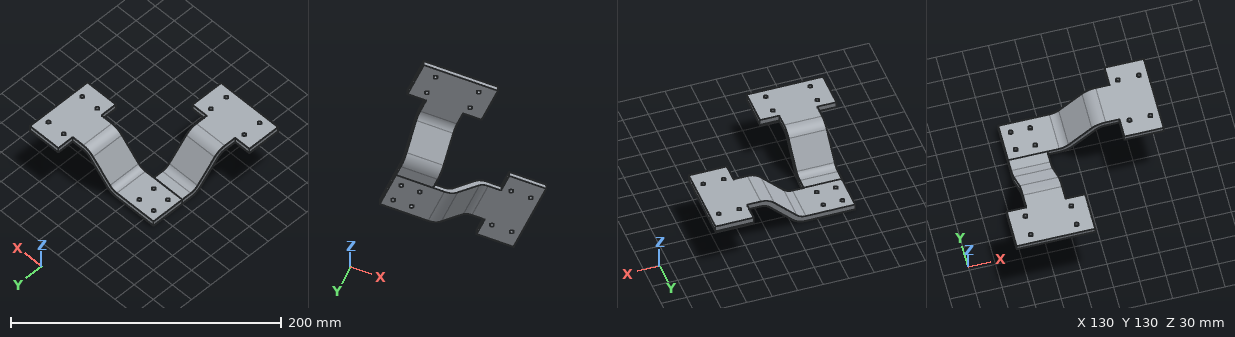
import cadquery as cq
import math

OVERALL_SPAN = 130.0
OVERALL_HEIGHT = 30.0

THICKNESS = 5.0
STRIP_WIDTH = 30.0
PAD_LENGTH = STRIP_WIDTH
LOWER_FLAT = 8.8
BEND_ANGLE = 45.0
INNER_RADIUS = 10.0
OUTER_RADIUS = INNER_RADIUS + THICKNESS

HEAD_WIDTH = 2 * STRIP_WIDTH
HEAD_LENGTH = 30.0

HOLE_DIAMETER = 3.0
PAD_HOLE_PITCH = 15.0
HEAD_HOLE_PITCH_ALONG = 16.0
HEAD_HOLE_PITCH_ACROSS = 35.0

PAD_START = -PAD_LENGTH / 2
PAD_END = PAD_LENGTH / 2
BEND_START = PAD_END + LOWER_FLAT
ARM_END = OVERALL_SPAN - HEAD_WIDTH / 2
HEAD_CENTER = ARM_END - HEAD_LENGTH / 2

RISE = OVERALL_HEIGHT - THICKNESS
ANGLE = math.radians(BEND_ANGLE)
BEND_RUN = (INNER_RADIUS + OUTER_RADIUS) * math.sin(ANGLE)
BEND_RISE = (INNER_RADIUS + OUTER_RADIUS) * (1 - math.cos(ANGLE))
BEND_END = BEND_START + BEND_RUN + (RISE - BEND_RISE) / math.tan(ANGLE)


def lower_bend_point(radius, angle):
    """Point on the lower bend, whose center lies above the lower flat."""
    center_z = THICKNESS + INNER_RADIUS
    return BEND_START + radius * math.sin(angle), center_z - radius * math.cos(angle)


def upper_bend_point(radius, angle):
    """Point on the upper bend, whose center lies below the upper flat."""
    center_z = RISE - INNER_RADIUS
    return BEND_END - radius * math.sin(angle), center_z + radius * math.cos(angle)


def bent_strip(start):
    """Strip along +X that rises from the lower level to the upper level."""
    return (
        cq.Workplane("XZ", origin=(0, STRIP_WIDTH / 2, 0))
        .moveTo(start, 0)
        .lineTo(*lower_bend_point(OUTER_RADIUS, 0))
        .threePointArc(lower_bend_point(OUTER_RADIUS, ANGLE / 2), lower_bend_point(OUTER_RADIUS, ANGLE))
        .lineTo(*upper_bend_point(INNER_RADIUS, ANGLE))
        .threePointArc(upper_bend_point(INNER_RADIUS, ANGLE / 2), upper_bend_point(INNER_RADIUS, 0))
        .lineTo(ARM_END, RISE)
        .lineTo(ARM_END, OVERALL_HEIGHT)
        .lineTo(*upper_bend_point(OUTER_RADIUS, 0))
        .threePointArc(upper_bend_point(OUTER_RADIUS, ANGLE / 2), upper_bend_point(OUTER_RADIUS, ANGLE))
        .lineTo(*lower_bend_point(INNER_RADIUS, ANGLE))
        .threePointArc(lower_bend_point(INNER_RADIUS, ANGLE / 2), lower_bend_point(INNER_RADIUS, 0))
        .lineTo(start, THICKNESS)
        .close()
        .extrude(STRIP_WIDTH)
    )


def hole_pins(center_x, bottom, pitch_x, pitch_y):
    """Four cylinders that cut through one thickness of the sheet."""
    return (
        cq.Workplane("XY", origin=(center_x, 0, bottom))
        .rarray(pitch_x, pitch_y, 2, 2)
        .circle(HOLE_DIAMETER / 2)
        .extrude(THICKNESS)
    )


def t_arm(start):
    """Bent strip with a drilled T-shaped head at its raised end."""
    head = (
        cq.Workplane("XY", origin=(HEAD_CENTER, 0, RISE))
        .rect(HEAD_LENGTH, HEAD_WIDTH)
        .extrude(THICKNESS)
    )
    head_holes = hole_pins(HEAD_CENTER, RISE, HEAD_HOLE_PITCH_ALONG, HEAD_HOLE_PITCH_ACROSS)
    return bent_strip(start).union(head).cut(head_holes)


def make_pad_arm():
    """Arm along +X that includes the drilled corner pad."""
    return t_arm(PAD_START).cut(hole_pins(0, 0, PAD_HOLE_PITCH, PAD_HOLE_PITCH))


def make_side_arm():
    """Arm along -Y that butts against the edge of the corner pad."""
    return t_arm(PAD_END).rotate((0, 0, 0), (0, 0, 1), -90)


pad_arm = make_pad_arm()
side_arm = make_side_arm()

result = cq.Compound.makeCompound([pad_arm.val(), side_arm.val()])